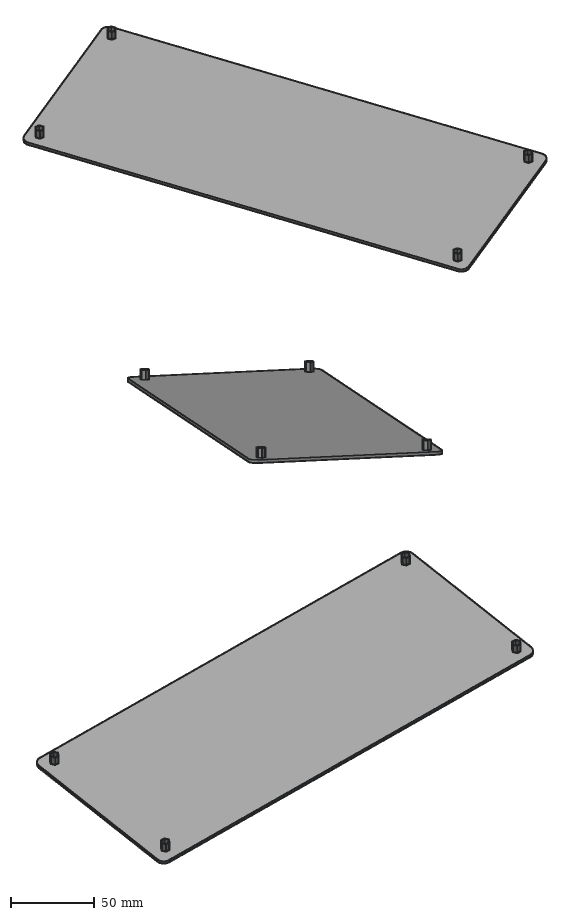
import cadquery as cq
import math

length = 294.5
width = 120.2
total_height = 8.0
plate_thickness = 2.0
corner_radius = 5.0

across_flats = 5.0
socket_across_flats = 4.0
hole_diameter = 2.1
standoff_height = total_height - plate_thickness

left_inset = 8.5
right_inset = 9.0
right_rear_inset = 9.7
side_inset = 8.5
right_rear_side_inset = 9.0

left_x = left_inset - length / 2
right_x = length / 2 - right_inset
right_rear_x = length / 2 - right_rear_inset
front_y = side_inset - width / 2
rear_y = width / 2 - side_inset
right_rear_y = width / 2 - right_rear_side_inset
standoff_centres = [
    (left_x, front_y),
    (left_x, rear_y),
    (right_x, front_y),
    (right_rear_x, right_rear_y),
]


def make_plate():
    """Flat plate with rounded corners, its underside at Z = 0."""
    plate = cq.Workplane("XY").box(length, width, plate_thickness, centered=(True, True, False))
    return plate.edges("|Z").fillet(corner_radius)


def hexagonal_prisms(flats):
    """Prisms from the plate top to the standoff tops, with two corners of each along X."""
    across_corners = flats / math.cos(math.pi / 6)
    spots = cq.Workplane("XY").workplane(offset=plate_thickness).pushPoints(standoff_centres)
    return spots.polygon(6, across_corners).extrude(standoff_height)


def make_standoffs():
    """Hexagonal tubes standing on the plate."""
    return hexagonal_prisms(across_flats).cut(hexagonal_prisms(socket_across_flats))


def make_holes():
    """Round holes through the plate at the standoff centres."""
    return cq.Workplane("XY").pushPoints(standoff_centres).circle(hole_diameter / 2).extrude(plate_thickness)


result = make_plate().union(make_standoffs()).cut(make_holes())